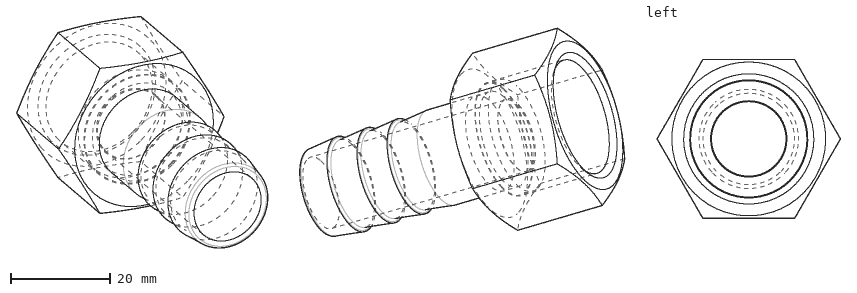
import cadquery as cq
import math

TOTAL_LENGTH = 61.0

NUT_LENGTH = 22.0
ACROSS_FLATS = 32.0
ACROSS_CORNERS = ACROSS_FLATS / math.cos(math.pi / 6)
NUT_FACE_RADIUS = 15.5
CORNER_CHAMFER_LENGTH = 1.2
THREAD_RADIUS = 11.9
LEAD_IN_RADIUS = 13.1
LEAD_IN_DEPTH = 1.1
BACK_WALL = 3.25

NECK_RADIUS = 10.0
BORE_RADIUS = 7.5
BORE_CHAMFER = 0.2
COLLAR_CLEARANCE = 0.2
COLLAR_RADIUS = THREAD_RADIUS - COLLAR_CLEARANCE
COLLAR_THICKNESS = 3.0
BARB_COUNT = 4
BARB_PITCH = 6.95
BARB_DROP = 0.8
ROOT_FILLET = 0.5
TIP_FILLET = 0.55

THREAD_DEPTH = NUT_LENGTH - BACK_WALL
BARBS_START = TOTAL_LENGTH - BARB_COUNT * BARB_PITCH
BARB_ROOT_RADIUS = NECK_RADIUS - BARB_DROP
ARC_MIDDLE = math.sqrt(0.5)


def revolve_about_x(profile):
    """Turn a closed XZ profile, with Z as the radius, fully around the X axis."""
    return profile.close().revolve(360, (0, 0, 0), (1, 0, 0))


def make_nut():
    hexagon = cq.Workplane("YZ").polygon(6, ACROSS_CORNERS).extrude(NUT_LENGTH)

    corner_radius = ACROSS_CORNERS / 2
    chamfer_envelope = revolve_about_x(
        cq.Workplane("XZ")
        .moveTo(0, 0)
        .lineTo(0, NUT_FACE_RADIUS)
        .lineTo(CORNER_CHAMFER_LENGTH, corner_radius)
        .lineTo(NUT_LENGTH - CORNER_CHAMFER_LENGTH, corner_radius)
        .lineTo(NUT_LENGTH, NUT_FACE_RADIUS)
        .lineTo(NUT_LENGTH, 0)
    )

    opening = revolve_about_x(
        cq.Workplane("XZ")
        .moveTo(0, 0)
        .lineTo(0, LEAD_IN_RADIUS)
        .lineTo(LEAD_IN_DEPTH, THREAD_RADIUS)
        .lineTo(THREAD_DEPTH, THREAD_RADIUS)
        .lineTo(THREAD_DEPTH, NECK_RADIUS)
        .lineTo(NUT_LENGTH, NECK_RADIUS)
        .lineTo(NUT_LENGTH, 0)
    )
    return hexagon.intersect(chamfer_envelope).cut(opening)


def add_barb_with_root(profile, barb_end):
    """Slope down to the root, then rise through a concave fillet to the next crest."""
    fillet_start = barb_end - ROOT_FILLET
    return (
        profile
        .lineTo(fillet_start, BARB_ROOT_RADIUS)
        .threePointArc(
            (fillet_start + ROOT_FILLET * ARC_MIDDLE, BARB_ROOT_RADIUS + ROOT_FILLET * (1 - ARC_MIDDLE)),
            (barb_end, BARB_ROOT_RADIUS + ROOT_FILLET),
        )
        .lineTo(barb_end, NECK_RADIUS)
    )


def add_rounded_tip(profile):
    """Slope down the last barb and round it over into the end face."""
    fillet_start = TOTAL_LENGTH - TIP_FILLET
    return (
        profile
        .lineTo(fillet_start, BARB_ROOT_RADIUS)
        .threePointArc(
            (fillet_start + TIP_FILLET * ARC_MIDDLE, BARB_ROOT_RADIUS - TIP_FILLET * (1 - ARC_MIDDLE)),
            (TOTAL_LENGTH, BARB_ROOT_RADIUS - TIP_FILLET),
        )
    )


def make_hose_tail():
    collar_start = THREAD_DEPTH - COLLAR_THICKNESS
    profile = (
        cq.Workplane("XZ")
        .moveTo(collar_start + BORE_CHAMFER, BORE_RADIUS)
        .lineTo(collar_start, BORE_RADIUS + BORE_CHAMFER)
        .lineTo(collar_start, COLLAR_RADIUS)
        .lineTo(THREAD_DEPTH, COLLAR_RADIUS)
        .lineTo(THREAD_DEPTH, NECK_RADIUS)
        .lineTo(BARBS_START, NECK_RADIUS)
    )
    for barb in range(1, BARB_COUNT):
        profile = add_barb_with_root(profile, BARBS_START + barb * BARB_PITCH)
    profile = add_rounded_tip(profile).lineTo(TOTAL_LENGTH, BORE_RADIUS)
    return revolve_about_x(profile)


nut = make_nut()
hose_tail = make_hose_tail()

result = cq.Compound.makeCompound([nut.val(), hose_tail.val()])